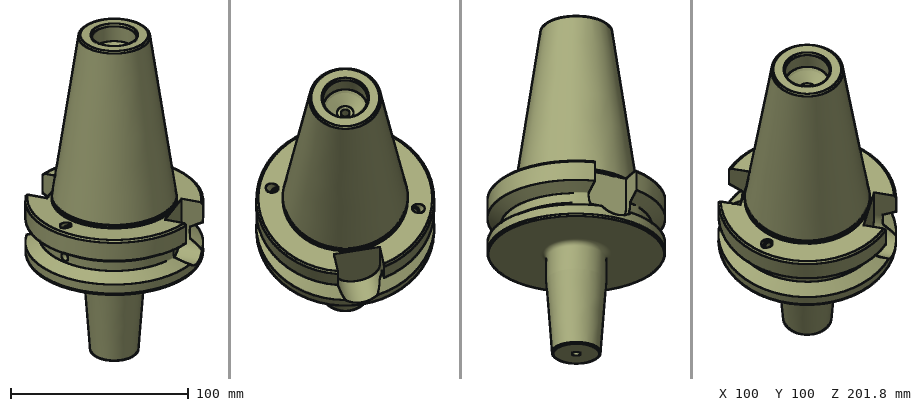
import cadquery as cq
import math


total_height = 201.8
taper_length = 101.7
top_z = taper_length
bottom_z = top_z - total_height

gauge_radius = 35.0
taper_slope = 7 / 48
taper_top_radius = gauge_radius - taper_slope * taper_length
taper_edge_chamfer = 1.0
taper_foot_z = -1.2
taper_foot_radius = gauge_radius - taper_slope * taper_foot_z

relief_radius = 34.5
collar_radius = 35.3
collar_top_z = -2.5

groove_side_angle = 30
flange_radius = 50.0
flange_top_z = -3.0
flange_bottom_z = -38.0
flange_chamfer_height = 1.2
flange_top_chamfer_width = 1.2
flange_bottom_chamfer_width = 0.6
groove_radius = 42.5
groove_floor_top_z = -20.0
groove_floor_bottom_z = -26.6
groove_corner_fillet = 0.6
groove_side_height = (flange_radius - groove_radius) * math.tan(math.radians(groove_side_angle))

nose_radius = 17.0
nose_fillet = 3.0
nose_taper_start_z = -55.3
nose_tip_radius = 13.7
nose_tip_chamfer = 0.8

bore_radius = 12.5
bore_mouth_width = 0.8
bore_mouth_depth = 1.5
bore_depth = 10.9
bore_step_radius = 10.9
bore_step_height = 1.5
bore_step_depth = bore_depth + bore_step_height
drill_point_angle = 118
bore_floor_radius = 4.6
bore_floor_depth = bore_step_depth + (bore_step_radius - bore_floor_radius) / math.tan(
    math.radians(drill_point_angle / 2)
)
through_hole_radius = 2.5

slot_width = 26.2
slot_floor_x = 35.5
slot_bottom_z = -34.7

coolant_angles = (70, 250)
inlet_pitch_radius = 41.8
inlet_tilt = 30
inlet_radius = 3.0
inlet_depth = 4.0
duct_radius = 2.0
cross_hole_radius = 2.5
cross_hole_z = -23.0
cross_hole_drop = flange_top_z - cross_hole_z
cross_hole_end_radius = inlet_pitch_radius - cross_hole_drop * math.tan(math.radians(inlet_tilt))


def make_body():
    """Revolve the outline of taper, flange and nose, then round the groove corners."""
    fillet_mid_offset = nose_fillet * (1 - math.sqrt(0.5))
    outline = (
        cq.Workplane("XZ")
        .moveTo(0, top_z)
        .lineTo(taper_top_radius - taper_edge_chamfer, top_z)
        .lineTo(taper_top_radius + taper_slope * taper_edge_chamfer, top_z - taper_edge_chamfer)
        .lineTo(taper_foot_radius, taper_foot_z)
        .lineTo(relief_radius, taper_foot_z)
        .lineTo(collar_radius, collar_top_z)
        .lineTo(collar_radius, flange_top_z)
        .lineTo(flange_radius - flange_top_chamfer_width, flange_top_z)
        .lineTo(flange_radius, flange_top_z - flange_chamfer_height)
        .lineTo(flange_radius, groove_floor_top_z + groove_side_height)
        .lineTo(groove_radius, groove_floor_top_z)
        .lineTo(groove_radius, groove_floor_bottom_z)
        .lineTo(flange_radius, groove_floor_bottom_z - groove_side_height)
        .lineTo(flange_radius, flange_bottom_z + flange_chamfer_height)
        .lineTo(flange_radius - flange_bottom_chamfer_width, flange_bottom_z)
        .lineTo(nose_radius + nose_fillet, flange_bottom_z)
        .threePointArc(
            (nose_radius + fillet_mid_offset, flange_bottom_z - fillet_mid_offset),
            (nose_radius, flange_bottom_z - nose_fillet),
        )
        .lineTo(nose_radius, nose_taper_start_z)
        .lineTo(nose_tip_radius, bottom_z + nose_tip_chamfer)
        .lineTo(nose_tip_radius - nose_tip_chamfer, bottom_z)
        .lineTo(0, bottom_z)
        .close()
    )
    body = outline.revolve(360, (0, 0, 0), (0, 1, 0))
    groove_corners = body.edges("%CIRCLE").filter(lambda edge: math.isclose(edge.radius(), groove_radius))
    return groove_corners.fillet(groove_corner_fillet)


def make_bore():
    """Revolve the stepped bore and the hole that runs on through the nose."""
    outline = (
        cq.Workplane("XZ")
        .moveTo(0, top_z)
        .lineTo(bore_radius + bore_mouth_width, top_z)
        .lineTo(bore_radius, top_z - bore_mouth_depth)
        .lineTo(bore_radius, top_z - bore_depth)
        .lineTo(bore_step_radius, top_z - bore_step_depth)
        .lineTo(bore_floor_radius, top_z - bore_floor_depth)
        .lineTo(through_hole_radius, top_z - bore_floor_depth)
        .lineTo(through_hole_radius, bottom_z)
        .lineTo(0, bottom_z)
        .close()
    )
    return outline.revolve(360, (0, 0, 0), (0, 1, 0))


def make_drive_slots():
    """Two round-bottomed slots, open at the flange top and rim."""
    slot_radius = slot_width / 2
    arc_center_z = slot_bottom_z + slot_radius
    profile = (
        cq.Workplane("YZ", origin=(slot_floor_x, 0, 0))
        .moveTo(-slot_radius, flange_top_z)
        .lineTo(-slot_radius, arc_center_z)
        .threePointArc((0, slot_bottom_z), (slot_radius, arc_center_z))
        .lineTo(slot_radius, flange_top_z)
        .close()
    )
    slot = profile.extrude(flange_radius)
    return slot.union(slot.rotate((0, 0, 0), (0, 0, 1), 180))


def make_coolant_holes(angle):
    """Tilted inlet and duct from the flange top, met by a radial hole from the groove."""
    tilt = math.radians(inlet_tilt)
    inlet_point = cq.Vector(inlet_pitch_radius, 0, flange_top_z)
    axis = cq.Vector(-math.sin(tilt), 0, -math.cos(tilt))
    duct_length = cross_hole_drop / math.cos(tilt)
    inlet_start = inlet_point - axis * inlet_radius
    inlet = cq.Solid.makeCylinder(inlet_radius, inlet_depth + inlet_radius, inlet_start, axis)
    duct = cq.Solid.makeCylinder(duct_radius, duct_length, inlet_point, axis)
    cross_hole = cq.Solid.makeCylinder(
        cross_hole_radius,
        flange_radius - cross_hole_end_radius,
        cq.Vector(cross_hole_end_radius, 0, cross_hole_z),
        cq.Vector(1, 0, 0),
    )
    holes = cq.Workplane(inlet).union(cq.Workplane(duct)).union(cq.Workplane(cross_hole))
    return holes.rotate((0, 0, 0), (0, 0, 1), angle)


result = make_body().cut(make_bore()).cut(make_drive_slots())
for coolant_angle in coolant_angles:
    result = result.cut(make_coolant_holes(coolant_angle))